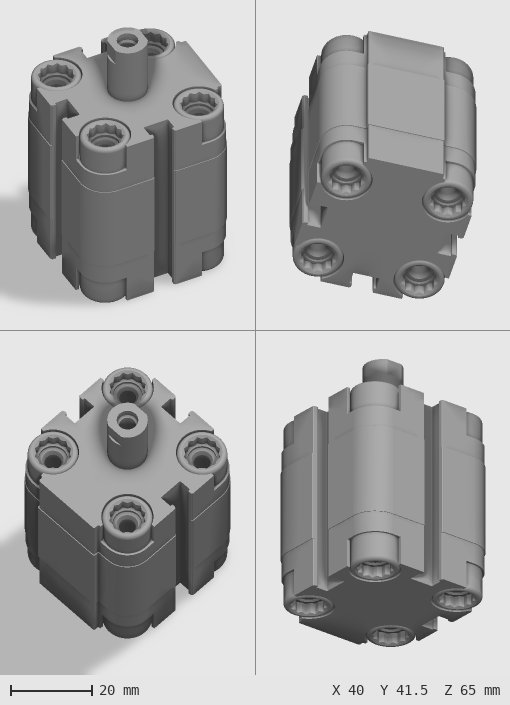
import cadquery as cq
import math

TOTAL_HEIGHT = 65.0
HOUSING_HEIGHT = 49.45

BARREL_HALF = 19.99
CAP_INSET = 0.2
CAP_HEIGHT = 12.95
CORNER_OFFSET = 13.0

STRIP_TOP = 21.48
STRIP_HALF_WIDTH = 9.9
STRIP_ROUND = 0.4

SLOT_FLOOR = 15.0
LIP_INNER = 18.4
SLOT_HALF_WIDTH = 3.4
LIP_HALF_OPENING = 2.7
LIP_ROUND = 0.3
SLOT_ROUND = 0.2

POCKET_DIAMETER = 12.9
POCKET_DEPTH = 7.4
POCKET_OPENING_MARGIN = 2.6
HEAD_DIAMETER = 12.5
HEAD_ROUND = 1.0
SOCKET_MOUTH_DIAMETER = 10.0
SOCKET_MOUTH_DEPTH = 0.65
SOCKET_ACROSS_FLATS = 8.0
SOCKET_POINTS = 12
SOCKET_DEPTH = 3.2
RELIEF_DIAMETER = 7.2
RELIEF_DEPTH = 3.9
COUNTERSINK_DIAMETER = 5.3
THROUGH_DIAMETER = 4.15
COUNTERSINK_DEPTH = 1.05

ROD_DIAMETER = 10.0
ROD_ACROSS_FLATS = 9.0
ROD_FLAT_HEIGHT = 4.2
ROD_MOUTH_DIAMETER = 5.3
ROD_MOUTH_DEPTH = 2.0
ROD_SHOULDER_DEPTH = 0.4
ROD_BORE_DIAMETER = 4.15
ROD_BORE_DEPTH = 9.1
DRILL_TIP_ANGLE = 118.0

MID_HEIGHT = HOUSING_HEIGHT / 2
SCREW_AXES = [(sx * CORNER_OFFSET, sy * CORNER_OFFSET) for sx in (-1, 1) for sy in (-1, 1)]
SLOT_ANGLES = (-90, 0, 90)


def section(half, strip_top, strip_half_width, z_start, height):
    """One slice of the housing: rounded square, port strip and rounded slot mouths."""
    square = (
        cq.Workplane("XY", origin=(0, 0, z_start))
        .rect(2 * half, 2 * half)
        .extrude(height)
        .edges("|Z")
        .fillet(half - CORNER_OFFSET)
    )
    r = STRIP_ROUND
    w = strip_half_width
    strip = (
        cq.Workplane("XY", origin=(0, 0, z_start))
        .moveTo(-w - r, half)
        .radiusArc((-w, half + r), -r)
        .lineTo(-w, strip_top - r)
        .radiusArc((-w + r, strip_top), r)
        .lineTo(w - r, strip_top)
        .radiusArc((w, strip_top - r), r)
        .lineTo(w, half + r)
        .radiusArc((w + r, half), -r)
        .lineTo(w + r, CORNER_OFFSET)
        .lineTo(-w - r, CORNER_OFFSET)
        .close()
        .extrude(height)
    )
    body = square.union(strip)

    r = LIP_ROUND
    g = LIP_HALF_OPENING
    mouth = (
        cq.Workplane("XY", origin=(0, 0, z_start))
        .moveTo(-g - r, -half)
        .radiusArc((-g, -half + r), r)
        .lineTo(g, -half + r)
        .radiusArc((g + r, -half), r)
        .close()
        .extrude(height)
    )
    for angle in SLOT_ANGLES:
        body = body.cut(mouth.rotate((0, 0, 0), (0, 0, 1), angle))
    return body


def cap_section(z_start):
    return section(
        BARREL_HALF - CAP_INSET, STRIP_TOP - CAP_INSET, STRIP_HALF_WIDTH - CAP_INSET, z_start, CAP_HEIGHT
    )


def slot_cutter():
    """T-slot along the whole height, on the -Y side."""
    r = SLOT_ROUND
    w = SLOT_HALF_WIDTH
    g = LIP_HALF_OPENING
    return (
        cq.Workplane("XY")
        .moveTo(-w + r, -SLOT_FLOOR)
        .lineTo(w - r, -SLOT_FLOOR)
        .radiusArc((w, -SLOT_FLOOR - r), r)
        .lineTo(w, -LIP_INNER)
        .lineTo(g + r, -LIP_INNER)
        .radiusArc((g, -LIP_INNER - r), -r)
        .lineTo(g, -BARREL_HALF)
        .lineTo(-g, -BARREL_HALF)
        .lineTo(-g, -LIP_INNER - r)
        .radiusArc((-g - r, -LIP_INNER), -r)
        .lineTo(-w, -LIP_INNER)
        .lineTo(-w, -SLOT_FLOOR - r)
        .radiusArc((-w + r, -SLOT_FLOOR), r)
        .close()
        .extrude(HOUSING_HEIGHT)
    )


def pocket_cutter(x, y):
    """Round pocket in the top face, with a square opening towards the nearest corner."""
    floor_z = HOUSING_HEIGHT - POCKET_DEPTH
    round_part = cq.Workplane("XY", origin=(x, y, floor_z)).circle(POCKET_DIAMETER / 2).extrude(POCKET_DEPTH)
    side = BARREL_HALF - CORNER_OFFSET + POCKET_OPENING_MARGIN
    to_middle = side / 2 - POCKET_OPENING_MARGIN
    middle = (x + math.copysign(to_middle, x), y + math.copysign(to_middle, y), floor_z)
    opening = cq.Workplane("XY", origin=middle).rect(side, side).extrude(POCKET_DEPTH)
    return round_part.union(opening)


def screw_head(x, y):
    """Round head that stands on the pocket floor, flush with the top face."""
    return (
        cq.Workplane("XY", origin=(x, y, HOUSING_HEIGHT - POCKET_DEPTH))
        .circle(HEAD_DIAMETER / 2)
        .extrude(POCKET_DEPTH)
        .faces(">Z")
        .edges()
        .fillet(HEAD_ROUND)
    )


def cone_down(x, y, z_top, top_diameter, bottom_diameter, depth):
    """Cone frustum that narrows downwards from z_top."""
    frustum = cq.Solid.makeCone(
        top_diameter / 2, bottom_diameter / 2, depth, cq.Vector(x, y, z_top), cq.Vector(0, 0, -1)
    )
    return cq.Workplane("XY").add(frustum)


def socket_cutter(x, y):
    """Twelve-point socket, relief and countersunk through hole, down to mid height."""
    top = cq.Workplane("XY", origin=(x, y, HOUSING_HEIGHT))
    mouth = cone_down(x, y, HOUSING_HEIGHT, SOCKET_MOUTH_DIAMETER, SOCKET_ACROSS_FLATS, SOCKET_MOUTH_DEPTH)

    hexagon_sides = SOCKET_POINTS // 2
    hexagon_diameter = SOCKET_ACROSS_FLATS / math.cos(math.pi / hexagon_sides)
    hexagon = top.polygon(hexagon_sides, hexagon_diameter).extrude(-SOCKET_DEPTH)
    turned = hexagon.rotate((x, y, 0), (x, y, 1), 360 / SOCKET_POINTS)

    relief = top.circle(RELIEF_DIAMETER / 2).extrude(-RELIEF_DEPTH)
    countersink = cone_down(
        x, y, HOUSING_HEIGHT - RELIEF_DEPTH, COUNTERSINK_DIAMETER, THROUGH_DIAMETER, COUNTERSINK_DEPTH
    )
    hole = top.circle(THROUGH_DIAMETER / 2).extrude(-MID_HEIGHT)
    return mouth.union(hexagon).union(turned).union(relief).union(countersink).union(hole)


def both_ends(cutter):
    """The shape together with its mirror image at the lower end."""
    return cutter, cutter.mirror("XY", (0, 0, MID_HEIGHT))


def make_housing():
    barrel_height = HOUSING_HEIGHT - 2 * CAP_HEIGHT
    body = section(BARREL_HALF, STRIP_TOP, STRIP_HALF_WIDTH, CAP_HEIGHT, barrel_height)
    body = body.union(cap_section(0)).union(cap_section(HOUSING_HEIGHT - CAP_HEIGHT))

    slot = slot_cutter()
    for angle in SLOT_ANGLES:
        body = body.cut(slot.rotate((0, 0, 0), (0, 0, 1), angle))

    for x, y in SCREW_AXES:
        for pocket in both_ends(pocket_cutter(x, y)):
            body = body.cut(pocket)
        for head in both_ends(screw_head(x, y)):
            body = body.union(head)
        for socket in both_ends(socket_cutter(x, y)):
            body = body.cut(socket)
    return body


def make_rod():
    """Piston rod on the top face: two wrench flats and a drilled hole with a wider mouth."""
    top = cq.Workplane("XY", origin=(0, 0, TOTAL_HEIGHT))
    rod_length = TOTAL_HEIGHT - HOUSING_HEIGHT
    rod = top.circle(ROD_DIAMETER / 2).extrude(-rod_length)

    flats = top.rect(ROD_DIAMETER, ROD_ACROSS_FLATS).extrude(-ROD_FLAT_HEIGHT)
    end_blank = top.rect(ROD_DIAMETER, ROD_DIAMETER).extrude(-ROD_FLAT_HEIGHT)
    rod = rod.cut(end_blank.cut(flats))

    mouth_r = ROD_MOUTH_DIAMETER / 2
    bore_r = ROD_BORE_DIAMETER / 2
    tip_length = bore_r / math.tan(math.radians(DRILL_TIP_ANGLE / 2))
    hole = (
        cq.Workplane("XZ")
        .polyline(
            [
                (0, TOTAL_HEIGHT),
                (mouth_r, TOTAL_HEIGHT),
                (mouth_r, TOTAL_HEIGHT - ROD_MOUTH_DEPTH),
                (bore_r, TOTAL_HEIGHT - ROD_MOUTH_DEPTH - ROD_SHOULDER_DEPTH),
                (bore_r, TOTAL_HEIGHT - ROD_BORE_DEPTH),
                (0, TOTAL_HEIGHT - ROD_BORE_DEPTH - tip_length),
            ]
        )
        .close()
        .revolve(360, (0, 0), (0, 1))
    )
    return rod.cut(hole)


housing = make_housing()
rod = make_rod()

result = cq.Compound.makeCompound([housing.val(), rod.val()])